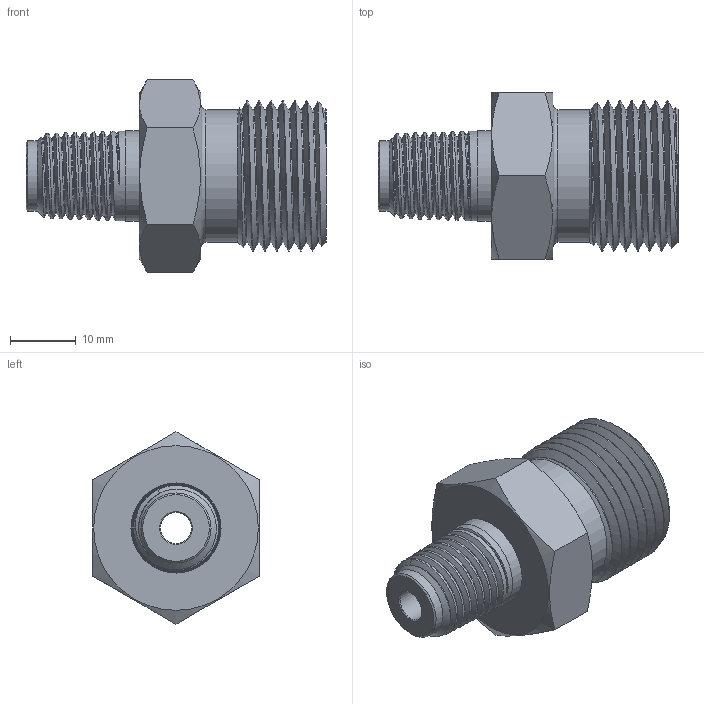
import cadquery as cq
import math

total_length = 45.72
bore_radius = 4.75 / 2
bore_chamfer = 0.15

pilot_radius = 10.67 / 2
pilot_length = 1.7
pilot_chamfer = 0.25
shank_radius = 13.72 / 2
taper_end_x = 15.2
radius_taper = 1 / 32
taper_pitch = 25.4 / 18
taper_depth = 0.75
taper_root_width = 0.2
taper_groove_top_x = 13.8
taper_first_turn = -9
taper_runout_turn = -0.5
taper_last_turn = 0.3
taper_runout_clearance = 0.02

hex_start_x = 17.25
hex_end_x = 26.67
hex_length = hex_end_x - hex_start_x
hex_across_flats = 25.4
hex_corner_radius = hex_across_flats / math.sqrt(3)
hex_face_radius = 25.1 / 2
hex_chamfer_length = (hex_corner_radius - hex_face_radius) * math.tan(math.radians(30))

neck_radius = 20.24 / 2
neck_fillet = 0.76
straight_start_x = 32.26
straight_radius = 22.911 / 2
straight_chamfer = straight_radius - neck_radius
straight_pitch = 25.4 / 14
straight_depth = 1.3
straight_root_width = 0.22
straight_groove_top_x = 34.6
straight_first_turn = -2.4
straight_last_turn = 7.6

flank_slope = math.tan(math.radians(30))
groove_overlap = 0.05
segments_per_turn = 1
spline_steps = 24


def revolve_about_x(profile):
    """Close a profile drawn as (x, radius) and turn it around the X axis."""
    return profile.close().revolve(360, (0, 0, 0), (1, 0, 0))


def helical_groove(first_turn, last_turn, pitch, top_x, root_width, depth, root_radius):
    """Right-handed V-groove cutter; turn 0 is at the top (+Z) of the thread at x = top_x.

    root_radius is a function of (x, turn), which lets the groove taper and run out.
    """
    height = depth + groove_overlap
    root_half = root_width / 2
    open_half = root_half + height * flank_slope
    corners = [(-root_half, 0), (root_half, 0), (open_half, height), (-open_half, height)]

    def corner_point(turn, offset, rise):
        center_x = top_x + pitch * turn
        radius = root_radius(center_x, turn) + rise
        angle = 2 * math.pi * turn
        return cq.Vector(center_x + offset, -radius * math.sin(angle), radius * math.cos(angle))

    segments = math.ceil((last_turn - first_turn) * segments_per_turn)
    segment_turns = (last_turn - first_turn) / segments
    faces = []
    for segment in range(segments):
        start = first_turn + segment * segment_turns
        turns = [start + segment_turns * i / spline_steps for i in range(spline_steps + 1)]
        edges = [cq.Edge.makeSpline([corner_point(turn, *corner) for turn in turns]) for corner in corners]
        faces += [cq.Face.makeRuledSurface(edges[i - 1], edges[i]) for i in range(len(edges))]
    for turn in (first_turn, last_turn):
        outline = cq.Wire.makePolygon([corner_point(turn, *corner) for corner in corners], close=True)
        faces.append(cq.Face.makeFromWires(outline))
    return cq.Workplane(cq.Solid.makeSolid(cq.Shell.makeShell(faces)).fix())


def crest_radius(x):
    """Radius of the tapered thread's crests."""
    return shank_radius - (taper_end_x - x) * radius_taper


def taper_root_radius(x, turn):
    """Full depth up to the runout, then rising steadily until clear of the crest."""
    progress = max(0, (turn - taper_runout_turn) / (taper_last_turn - taper_runout_turn))
    return crest_radius(x) - taper_depth + progress * (taper_depth + taper_runout_clearance)


def tapered_end():
    lead_in = (crest_radius(pilot_length) - pilot_radius) / (1 - radius_taper)
    blank = revolve_about_x(
        cq.Workplane("XY")
        .moveTo(0, 0)
        .lineTo(0, pilot_radius - pilot_chamfer)
        .lineTo(pilot_chamfer, pilot_radius)
        .lineTo(pilot_length, pilot_radius)
        .lineTo(pilot_length + lead_in, pilot_radius + lead_in)
        .lineTo(taper_end_x, shank_radius)
        .lineTo(hex_start_x, shank_radius)
        .lineTo(hex_start_x, 0)
    )
    groove = helical_groove(
        taper_first_turn,
        taper_last_turn,
        taper_pitch,
        taper_groove_top_x,
        taper_root_width,
        taper_depth,
        taper_root_radius,
    )
    return blank.cut(groove)


def hexagon():
    prism = (
        cq.Workplane("YZ", origin=(hex_start_x, 0, 0))
        .polygon(6, 2 * hex_corner_radius)
        .extrude(hex_length)
        .rotate((0, 0, 0), (1, 0, 0), 90)
    )
    corner_turning = revolve_about_x(
        cq.Workplane("XY")
        .moveTo(hex_start_x, 0)
        .lineTo(hex_start_x, hex_face_radius)
        .lineTo(hex_start_x + hex_chamfer_length, hex_corner_radius)
        .lineTo(hex_end_x - hex_chamfer_length, hex_corner_radius)
        .lineTo(hex_end_x, hex_face_radius)
        .lineTo(hex_end_x, 0)
    )
    return prism.intersect(corner_turning)


def neck():
    return revolve_about_x(
        cq.Workplane("XY")
        .moveTo(hex_end_x, 0)
        .lineTo(hex_end_x, neck_radius + neck_fillet)
        .radiusArc((hex_end_x + neck_fillet, neck_radius), -neck_fillet)
        .lineTo(straight_start_x, neck_radius)
        .lineTo(straight_start_x, 0)
    )


def straight_end():
    blank = revolve_about_x(
        cq.Workplane("XY")
        .moveTo(straight_start_x, 0)
        .lineTo(straight_start_x, neck_radius)
        .lineTo(straight_start_x + straight_chamfer, straight_radius)
        .lineTo(total_length - straight_chamfer, straight_radius)
        .lineTo(total_length, neck_radius)
        .lineTo(total_length, 0)
    )
    groove = helical_groove(
        straight_first_turn,
        straight_last_turn,
        straight_pitch,
        straight_groove_top_x,
        straight_root_width,
        straight_depth,
        lambda x, turn: straight_radius - straight_depth,
    )
    return blank.cut(groove)


def bore():
    return revolve_about_x(
        cq.Workplane("XY")
        .moveTo(0, 0)
        .lineTo(0, bore_radius + bore_chamfer)
        .lineTo(bore_chamfer, bore_radius)
        .lineTo(total_length, bore_radius)
        .lineTo(total_length, 0)
    )


result = tapered_end().union(hexagon()).union(neck()).union(straight_end()).cut(bore())